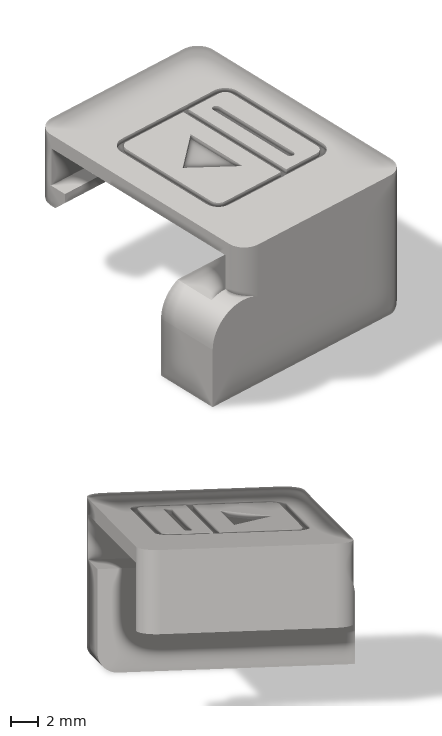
import cadquery as cq


length = 22.03
cap_depth = 16.0
cap_height = 6.21
plate_thickness = 1.2
corner_radius = 1.5
left_wall = 1.56
right_wall = 1.9

catch_reach = 1.48
catch_top = 4.45
catch_nose = 0.8
catch_foot = 0.45
catch_overhang = 0.02

total_height = 12.2
arm_width = 5.5
arm_reach = 3.0
arm_top = 4.52
shoulder_top = 4.19

symbol_x = 11.13
symbol_y = 7.97
frame_size = 11.45
frame_radius = 1.2
groove_width = 0.5
engraving_depth = 0.4
divider_y = 9.25
slot_length = 8.5
slot_width = 0.62
slot_y = 11.08
triangle_width = 5.55
triangle_height = 3.35
triangle_top_y = 7.47


def block(x_min, x_max, y_min, y_max, z_min, z_max):
    """Box between opposite corners."""
    size = (x_max - x_min, y_max - y_min, z_max - z_min)
    return cq.Workplane().box(*size, centered=False).translate((x_min, y_min, z_min))


def make_cap():
    body = block(0, length, 0, cap_depth, -cap_height, 0).edges("|Z").fillet(corner_radius)
    opening = block(left_wall, length - right_wall, 0, cap_depth, -cap_height, -plate_thickness)
    return body.cut(opening)


def make_catch():
    rail_length = cap_depth - corner_radius + catch_overhang
    tip_x = left_wall + catch_reach
    root_x = corner_radius
    return (
        cq.Workplane("XZ", origin=(0, -catch_overhang, 0))
        .moveTo(root_x, -catch_top)
        .lineTo(tip_x, -catch_top)
        .lineTo(tip_x, -catch_top - catch_nose)
        .lineTo(left_wall + catch_foot, -cap_height)
        .lineTo(root_x, -cap_height)
        .close()
        .extrude(-rail_length)
    )


def make_arm():
    arm_left = length - arm_width
    nose_axis = -shoulder_top - arm_reach
    arm = block(arm_left, length, 0, cap_depth, -total_height, -arm_top)
    arm = arm.union(block(arm_left, length, -arm_reach, 0, -total_height, nose_axis))
    nose = cq.Workplane("YZ", origin=(arm_left, 0, nose_axis)).circle(arm_reach).extrude(arm_width)
    clearance = block(
        arm_left, length - right_wall, -arm_reach, arm_reach, -arm_top, -shoulder_top
    )
    arm = arm.union(nose.cut(clearance))
    arm = arm.edges("|Z and >X and >Y").fillet(corner_radius)
    heel = (
        block(arm_left, length, -arm_reach, cap_depth, -total_height, 0)
        .edges("|X and >Y and <Z")
        .fillet(corner_radius)
    )
    return arm.intersect(heel)


def make_engraving():
    def sketch():
        return cq.Workplane(origin=(0, 0, -engraving_depth))

    frame = (
        sketch().center(symbol_x, symbol_y).rect(frame_size, frame_size)
        .extrude(engraving_depth).edges("|Z").fillet(frame_radius)
    )
    panel_size = frame_size - 2 * groove_width
    panel = (
        sketch().center(symbol_x, symbol_y).rect(panel_size, panel_size)
        .extrude(engraving_depth).edges("|Z").fillet(frame_radius - groove_width)
    )
    divider = sketch().center(symbol_x, divider_y).rect(panel_size, groove_width).extrude(engraving_depth)
    slot = sketch().center(symbol_x, slot_y).slot2D(slot_length, slot_width).extrude(engraving_depth)
    triangle = (
        sketch()
        .moveTo(symbol_x - triangle_width / 2, triangle_top_y)
        .lineTo(symbol_x + triangle_width / 2, triangle_top_y)
        .lineTo(symbol_x, triangle_top_y - triangle_height)
        .close()
        .extrude(engraving_depth)
    )
    return frame.cut(panel).union(divider).union(slot).union(triangle)


result = make_cap().union(make_catch()).union(make_arm()).cut(make_engraving())